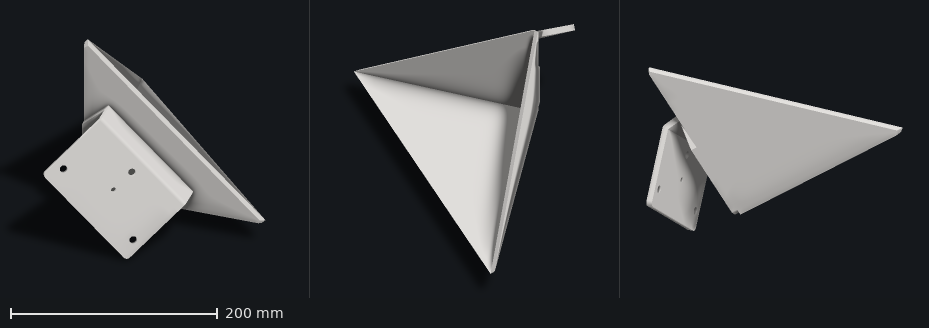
import cadquery as cq
import math


inner_leg = 180.0
plate_thickness = 3.0
bevel_slope = math.sqrt(2)
tip_facet_normals = [(1, -1.7, -0.35), (-0.75, 1, -2.2), (-0.75, -2.2, 1)]

bracket_width = 120.3
bracket_thickness = 6.0
flange_inner_height = 88.0
web_tilt = 9.5
web_depth = 13.5
leg_rise = math.degrees(math.atan(1 / math.sqrt(2)))
leg_length = 76.5
fold_radius = bracket_thickness
leg_corner_radius = 4.5

mount_hole_diameter = 7.5
mount_hole_side = 49.8
outer_hole_to_end = 18.5
upper_hole_to_end = 63.7
pilot_hole_diameter = 5.0
pilot_hole_to_end = 39.0

ALONG_WIDTH = cq.Vector(1, 0, -1)
CLEARANCE = 755.0


def beyond(point, normal):
    """Block that fills the space on the normal's side of a plane."""
    plane = cq.Plane(origin=point, normal=normal)
    return cq.Workplane(plane).rect(CLEARANCE, CLEARANCE).extrude(CLEARANCE)


def make_reflector():
    outer_side = inner_leg + plate_thickness
    inner_corner = cq.Workplane("XY").box(CLEARANCE, CLEARANCE, CLEARANCE, centered=False)
    body = (
        cq.Workplane("XY")
        .box(outer_side, outer_side, outer_side, centered=False)
        .translate((-plate_thickness, -plate_thickness, -plate_thickness))
        .cut(inner_corner)
    )
    for axis, tip_normal in enumerate(tip_facet_normals):
        tip = [0, 0, 0]
        tip[axis] = inner_leg
        edge_normal = [1, 1, 1]
        edge_normal[(axis + 1) % 3] = -bevel_slope
        body = body.cut(beyond(tuple(tip), tuple(edge_normal)))
        body = body.cut(beyond(tuple(tip), tip_normal))
    return body


def offset_corner(corner, angle_in, angle_out):
    """Where the outer faces of two strips meet, given their inner corner and directions."""
    half_turn = math.radians(angle_out - angle_in) / 2
    mean_angle = math.radians(angle_in + angle_out) / 2
    reach = bracket_thickness / math.cos(half_turn)
    return (corner[0] - reach * math.sin(mean_angle), corner[1] + reach * math.cos(mean_angle))


def step(start, angle, length):
    return (
        start[0] + length * math.cos(math.radians(angle)),
        start[1] + length * math.sin(math.radians(angle)),
    )


def make_bracket():
    flange_back = plate_thickness
    flange_front = flange_back + bracket_thickness
    flange_angle = 90.0
    web_angle = -web_tilt
    leg_angle = leg_rise - 90.0
    upper_inside = (flange_front, flange_inner_height)
    lower_inside = step(upper_inside, web_angle, web_depth / math.cos(math.radians(web_tilt)))
    leg_end_inside = step(lower_inside, leg_angle, leg_length)
    leg_end_outside = step(leg_end_inside, leg_angle + 90.0, bracket_thickness)
    upper_outside = offset_corner(upper_inside, flange_angle, web_angle)
    lower_outside = offset_corner(lower_inside, web_angle, leg_angle)

    profile_plane = cq.Plane(origin=(0, 0, 0), xDir=(0, -1, 0), normal=-ALONG_WIDTH)
    outline = [
        (flange_back, 0),
        (flange_front, 0),
        upper_inside,
        lower_inside,
        leg_end_inside,
        leg_end_outside,
        lower_outside,
        upper_outside,
    ]
    body = cq.Workplane(profile_plane).polyline(outline).close().extrude(bracket_width / 2, both=True)

    for corner in (upper_outside, lower_outside):
        fold = cq.selectors.NearestToPointSelector(profile_plane.toWorldCoords(corner).toTuple())
        body = body.edges(cq.selectors.ParallelDirSelector(ALONG_WIDTH)).edges(fold).fillet(fold_radius)

    trim_corner = (-plate_thickness, -flange_front, -plate_thickness)
    trim_size = (CLEARANCE, bracket_thickness, CLEARANCE)
    for shift in ((-CLEARANCE, 0, 0), (0, 0, -CLEARANCE)):
        trim = cq.Workplane("XY").box(*trim_size, centered=False).translate(trim_corner).translate(shift)
        body = body.cut(trim)

    end = profile_plane.toWorldCoords(leg_end_outside)
    leg_normal = cq.Vector(1, -2, 1)
    leg_plane = cq.Plane(origin=end, xDir=ALONG_WIDTH, normal=leg_normal)
    end_corners = cq.Workplane(leg_plane).pushPoints([(-bracket_width / 2, 0), (bracket_width / 2, 0)])
    for corner in end_corners.vals():
        nearest = cq.selectors.NearestToPointSelector(corner.toTuple())
        body = body.edges(cq.selectors.ParallelDirSelector(leg_normal)).edges(nearest).fillet(leg_corner_radius)

    mount_points = [
        (-mount_hole_side, outer_hole_to_end),
        (mount_hole_side, outer_hole_to_end),
        (0, upper_hole_to_end),
    ]
    leg = cq.Workplane(leg_plane)
    mount_holes = leg.pushPoints(mount_points).circle(mount_hole_diameter / 2).extrude(-bracket_thickness)
    pilot_hole = leg.center(0, pilot_hole_to_end).circle(pilot_hole_diameter / 2).extrude(-bracket_thickness)
    return body.cut(mount_holes).cut(pilot_hole)


reflector = make_reflector()
bracket = make_bracket()

result = cq.Compound.makeCompound([reflector.solids().val(), bracket.solids().val()])